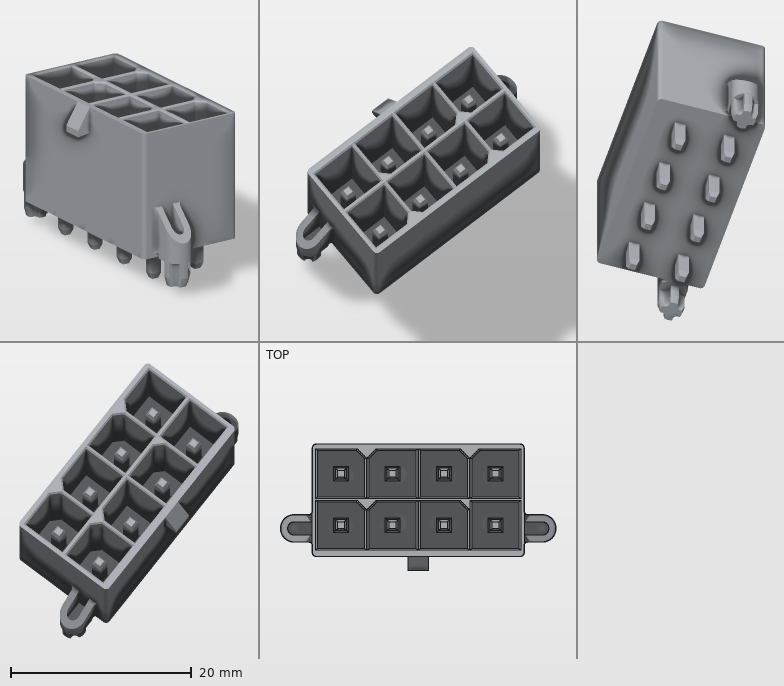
import cadquery as cq
import math

overall_length = 30.5

body_length = 23.5
body_width = 12.47
body_height = 14.8
body_corner_radius = 0.5

pitch = 5.7
grid_offset_y = 0.1
cavity_length = 5.25
cavity_width = 5.15
cavity_floor_z = 3.05
cavity_corner_cut = 0.9
lead_in = 0.18
front_row_cuts = ["right", "left", "right", "none"]
rear_row_cuts = ["right", "left", "right", "left"]
cut_layout = [front_row_cuts, rear_row_cuts]
rows = len(cut_layout)
columns = len(front_row_cuts)

pin_size = 1.22
pin_tip_size = 0.73
pin_tip_length = 0.67
pin_bottom_z = -3.72
pin_top_z = 9.75
pin_recess_size = 1.62

latch_width = 2.32
latch_reach = 1.55
latch_ramp_drop = 2.47
latch_tip_drop = 3.2
latch_root_drop = 3.02

wing_radius = 1.52
wing_y = -3.1
wing_wall_height = 5.9
wing_slot_radius = 0.73
wing_root_radius = 0.37
wing_relief_height = 0.55
wing_relief_facets = [(0.15, 30), (0.18, 60), (0.25, 30)]

peg_radius = 1.5
peg_tip_radius = 1.22
peg_length = 2.87
peg_straight_length = 1.83
peg_rib_half_width = 0.45
peg_rib_fillet = 0.45

end_wall_x = body_length / 2
front_wall_y = -body_width / 2
wing_x = overall_length / 2 - wing_radius


def cavity_outline(length, width, corner_cut, cut_side):
    """Corner points of a cavity centred on the origin, with one +Y corner optionally cut."""
    right, rear = length / 2, width / 2
    points = [(-right, -rear), (right, -rear)]
    if cut_side == "right":
        points += [(right, rear - corner_cut), (right - corner_cut, rear)]
    else:
        points += [(right, rear)]
    if cut_side == "left":
        points += [(-right + corner_cut, rear), (-right, rear - corner_cut)]
    else:
        points += [(-right, rear)]
    return points


def make_cavity(cut_side):
    """Straight cavity with a 45 degree lead-in at its mouth."""
    mouth_cut = cavity_corner_cut + lead_in * (2 - math.sqrt(2))
    wall = cavity_outline(cavity_length, cavity_width, cavity_corner_cut, cut_side)
    mouth = cavity_outline(cavity_length + 2 * lead_in, cavity_width + 2 * lead_in, mouth_cut, cut_side)
    lead_in_z = body_height - lead_in
    shaft = (
        cq.Workplane("XY", origin=(0, 0, cavity_floor_z))
        .polyline(wall)
        .close()
        .extrude(lead_in_z - cavity_floor_z)
    )
    funnel = (
        cq.Workplane("XY", origin=(0, 0, lead_in_z))
        .polyline(wall)
        .close()
        .workplane(offset=lead_in)
        .polyline(mouth)
        .close()
        .loft(ruled=True)
    )
    return shaft.union(funnel)


def square_taper(start_z, start_size, end_size, height):
    """Square frustum; a negative height builds it downwards."""
    return (
        cq.Workplane("XY", origin=(0, 0, start_z))
        .rect(start_size, start_size)
        .workplane(offset=height)
        .rect(end_size, end_size)
        .loft(ruled=True)
    )


def make_pin():
    """Square pin with a tapered tip at each end."""
    shank_bottom = pin_bottom_z + pin_tip_length
    shank_top = pin_top_z - pin_tip_length
    shank = (
        cq.Workplane("XY", origin=(0, 0, shank_bottom))
        .rect(pin_size, pin_size)
        .extrude(shank_top - shank_bottom)
    )
    lower_tip = square_taper(shank_bottom, pin_size, pin_tip_size, -pin_tip_length)
    upper_tip = square_taper(shank_top, pin_size, pin_tip_size, pin_tip_length)
    return shank.union(lower_tip).union(upper_tip)


def make_pin_recess():
    """45 degree countersink in the cavity floor around a pin."""
    depth = (pin_recess_size - pin_size) / 2
    return square_taper(cavity_floor_z, pin_recess_size, pin_size, -depth)


def make_latch():
    top = body_height
    tip_y = front_wall_y - latch_reach
    return (
        cq.Workplane("YZ", origin=(-latch_width / 2, 0, 0))
        .moveTo(0, top)
        .lineTo(front_wall_y, top)
        .lineTo(tip_y, top - latch_ramp_drop)
        .lineTo(tip_y, top - latch_tip_drop)
        .lineTo(front_wall_y, top - latch_root_drop)
        .lineTo(0, top - latch_root_drop)
        .close()
        .extrude(latch_width)
    )


def round_ended_bar(radius, bottom_z):
    """Bar along X from the +X end wall to a round end about the wing axis."""
    return (
        cq.Workplane("XY", origin=(0, wing_y, bottom_z))
        .moveTo(end_wall_x, -radius)
        .lineTo(wing_x, -radius)
        .threePointArc((wing_x + radius, 0), (wing_x, radius))
        .lineTo(end_wall_x, radius)
        .close()
        .extrude(wing_wall_height - bottom_z)
    )


def make_wing_relief(side):
    """Faceted corner relief beside the +X end wall, at the base of the wing."""
    across = wing_radius
    along = sum(run for run, _ in wing_relief_facets)
    points = [(0, side * across), (along, side * across)]
    for run, angle in wing_relief_facets:
        along -= run
        across -= run * math.tan(math.radians(angle))
        points.append((along, side * across))
    return (
        cq.Workplane("XY", origin=(end_wall_x, wing_y, 0))
        .polyline(points)
        .close()
        .extrude(wing_relief_height)
    )


def make_wing():
    """Wing on the +X end wall: round ended, slotted and sloped down at 45 degrees."""
    wing = round_ended_bar(wing_radius, 0)

    for side in (-1, 1):
        root = (
            cq.Workplane("XY", origin=(end_wall_x, wing_y, wing_relief_height))
            .moveTo(0, side * (wing_radius + wing_root_radius))
            .radiusArc(
                (wing_root_radius, side * wing_radius),
                -side * wing_root_radius,
            )
            .lineTo(0, side * wing_radius)
            .close()
            .extrude(wing_wall_height - wing_relief_height)
        )
        wing = wing.union(root).cut(make_wing_relief(side))

    slope_run = overall_length / 2 - end_wall_x
    above_slope = (
        cq.Workplane("XZ", origin=(0, wing_y, 0))
        .moveTo(end_wall_x, wing_wall_height)
        .lineTo(end_wall_x + slope_run, wing_wall_height - slope_run)
        .lineTo(end_wall_x + slope_run, wing_wall_height)
        .close()
        .extrude(2 * wing_radius, both=True)
    )
    slot = round_ended_bar(wing_slot_radius, wing_relief_height)
    return wing.cut(slot).cut(above_slope)


def make_peg():
    """Four-ribbed peg with a tapered end, below the +X wing."""
    envelope = (
        cq.Workplane("XZ")
        .lineTo(peg_radius, 0)
        .lineTo(peg_radius, -peg_straight_length)
        .lineTo(peg_tip_radius, -peg_length)
        .lineTo(0, -peg_length)
        .close()
        .revolve(360, (0, 0, 0), (0, 1, 0))
    )
    rib_width = 2 * peg_rib_half_width
    cross = (
        cq.Workplane("XY")
        .rect(2 * peg_radius, rib_width)
        .extrude(-peg_length)
        .union(cq.Workplane("XY").rect(rib_width, 2 * peg_radius).extrude(-peg_length))
    )
    inner_corner = cq.selectors.BoxSelector(
        (-rib_width, -rib_width, -peg_length),
        (rib_width, rib_width, 0),
    )
    cross = cross.edges("|Z").edges(inner_corner).fillet(peg_rib_fillet)
    return envelope.intersect(cross).translate((wing_x, wing_y, 0))


result = (
    cq.Workplane("XY")
    .rect(body_length, body_width)
    .extrude(body_height)
    .edges("|Z")
    .fillet(body_corner_radius)
    .union(make_latch())
)

pin_recess = make_pin_recess()
pin = make_pin()
for row, row_cuts in enumerate(cut_layout):
    for column, cut_side in enumerate(row_cuts):
        x = (column - (columns - 1) / 2) * pitch
        y = (row - (rows - 1) / 2) * pitch + grid_offset_y
        place = (x, y, 0)
        result = result.cut(make_cavity(cut_side).translate(place))
        result = result.cut(pin_recess.translate(place))
        result = result.union(pin.translate(place))

mount = make_wing().union(make_peg())
result = result.union(mount).union(mount.mirror("YZ"))